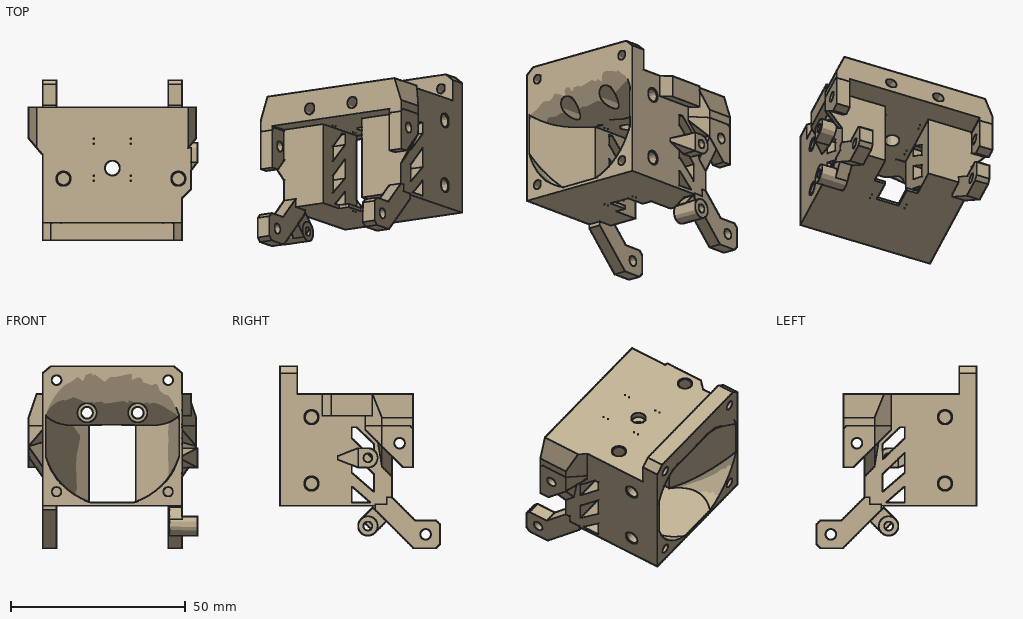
import cadquery as cq
import math

plate_half = 20.0
plate_depth = 5.0
plate_corner_x = 2.4
plate_corner_z = 2.0
body_depth = 32.1
body_height = 32.0
rear_face = 38.15
wall = 1.0
fan_hole_offset = 16.0
fan_hole_diameter = 2.7
roof_hole_diameter = 4.2
roof_hole_y = 20.7
roof_pocket_diameter = 10.45
roof_pocket_top = 30.25
roof_pocket_bottom = 28.25

channel_half = 6.65
channel_top = 23.2
duct_end = 14.5
duct_rim = 0.9
duct_half = plate_half - duct_rim
roof_run = 10.45
roof_end_half = 3.7
side_bulge = 5.2
floor_bulge = 14.6
end_corner = 0.15
end_bow = 0.01
duct_steps = 8
floor_overcut = 0.1
low_corner_power = 1.6

floor_slot_half = 3.35
floor_slot_front = 17.4
floor_notch_front = 23.75

louvre_front = 20.65
louvre_rear = 26.9
louvre_top = 22.45
upper_slot_corner_y = 21.95
upper_slot_front_low = 19.3
upper_slot_rear = (13.3, 17.7)
middle_slot_front = (9.45, 15.15)
middle_slot_rear = (4.0, 9.05)
lower_slot_front_high = 5.5
lower_slot_rear_y = 25.8

screw_diameter = 3.3
screw_head_diameter = 5.5
screw_x = 7.25
screw_z = 26.65
insert_diameter = 3.7
insert_mouth_diameter = 4.2
insert_depth = 5.0
side_insert_y = 9.05
side_insert_heights = (6.35, 25.4)
roof_insert_y = 17.65
roof_insert_places = (-14.0, 18.9)
pinhole_size = 0.1
pinhole_square = 10.6
pinhole_pair = 1.45
pinhole_centre_y = 23.1

hinge_width = 4.0
hinge_hole_diameter = 3.0
ear_outer = plate_half + hinge_width
bevel_front = 24.5
bevel_rear = 29.2
ear_slope_x = 21.7
ear_slope_z = 25.3
lug_top = 22.85
lug_bottom = 10.95
lug_chamfer = 0.9
lug_front_z = 21.7
lug_hole = (34.25, 17.9)
web_drop = 5.8
web_tip_y = 28.05

arm_hole = (41.7, -8.2)
arm_tip = 45.85
arm_chamfer = 1.15
arm_bottom = -12.2
arm_top = -4.2
arm_step_z = 0.35
arm_step_y = 30.65
arm_hook_z = 2.4
arm_front = 27.25
arm_underside_sum = 26.1

bump_width = 2.55
bump_bottom = 25.8
bump_front = 14.6
bump_rear = 26.5

tube_diameter = 5.6
tube_radius = tube_diameter / 2
tube_bore = 2.5
tube_y = 25.15
tube_inner_end = 16.35
tube_outer_end = 24.4
lower_tube_z = -5.8
upper_tube_z = 13.75
fairing_tip_y = 16.6
fairing_tip_height = 1.05

SIDES = (-1, 1)


def box(x0, x1, y0, y1, z0, z1):
    return cq.Workplane("XY").box(x1 - x0, y1 - y0, z1 - z0, centered=False).translate((x0, y0, z0))


def side_prism(outline, x0, x1):
    """Extrude a (Y, Z) outline between two X positions."""
    return cq.Workplane("YZ", origin=(x0, 0, 0)).polyline(outline).close().extrude(x1 - x0)


def plan_prism(outline, z0, z1):
    """Extrude an (X, Y) outline between two heights."""
    return cq.Workplane("XY", origin=(0, 0, z0)).polyline(outline).close().extrude(z1 - z0)


def front_prism(outline, y0, y1):
    """Extrude an (X, Z) outline between two depths."""
    return cq.Workplane("XZ", origin=(0, y0, 0)).polyline(outline).close().extrude(y0 - y1)


def x_cylinder(diameter, y, z, x0, x1):
    return cq.Workplane("YZ", origin=(x0, y, z)).circle(diameter / 2).extrude(x1 - x0)


def y_cylinder(diameter, x, z, y0, y1):
    return cq.Workplane("XZ", origin=(x, y0, z)).circle(diameter / 2).extrude(y0 - y1)


def z_cylinder(diameter, x, y, z0, z1):
    return cq.Workplane("XY", origin=(x, y, z0)).circle(diameter / 2).extrude(z1 - z0)


def on_side(shape, side):
    """Shapes are modelled on the +X side; side -1 gives the mirror image."""
    return shape if side > 0 else shape.mirror("YZ")


def polyhedron(faces):
    """Solid bounded by flat faces, each given by its corner points."""
    sheets = []
    for corners in faces:
        outline = cq.Wire.makePolygon([cq.Vector(*corner) for corner in corners], close=True)
        sheets.append(cq.Face.makeFromWires(outline))
    return cq.Workplane(obj=cq.Solid.makeSolid(cq.Shell.makeShell(sheets)))


def bowed_corner(start, end, depth, bow):
    """Arc from start to end, bowed to the right of the direction of travel."""
    chord_x = end[0] - start[0]
    chord_z = end[1] - start[1]
    chord = math.hypot(chord_x, chord_z)
    bow = min(bow, chord / 4)
    middle_x = (start[0] + end[0]) / 2 + bow * chord_z / chord
    middle_z = (start[1] + end[1]) / 2 - bow * chord_x / chord
    return cq.Edge.makeThreePointArc(
        cq.Vector(start[0], depth, start[1]),
        cq.Vector(middle_x, depth, middle_z),
        cq.Vector(end[0], depth, end[1]),
    )


def duct_section(depth):
    """Outline of the duct at one depth: four flats joined by four bowed corners.

    The mouth is a circle clipped by a square; the narrow end is the channel's rectangle.
    """
    t = depth / duct_end
    swell = t * (1 - t)
    roof_left = max(0, 1 - depth / roof_run)
    flat_half = math.sqrt(plate_half ** 2 - duct_half ** 2)

    side_x = duct_half + (channel_half - duct_half) * t + side_bulge * swell
    floor_x = flat_half + (channel_half - end_corner - flat_half) * t + floor_bulge * swell

    roof_rise = plate_half + duct_half - channel_top
    roof_fraction = 1 - math.sqrt(1 - roof_left ** 2)
    roof_z = channel_top + roof_rise * roof_fraction
    roof_x = roof_end_half + (flat_half - roof_end_half) * roof_fraction

    floor_z = wall - floor_overcut
    low_end = wall + end_corner
    high_end = channel_top - end_corner
    low_z = low_end + (plate_half - flat_half - low_end) * (1 - t) ** low_corner_power
    high_z = high_end + (plate_half + flat_half - high_end) * roof_left ** 2

    half_chord = (duct_half - flat_half) / math.sqrt(2)
    mouth_bow = plate_half - math.sqrt(plate_half ** 2 - half_chord ** 2)
    bow = mouth_bow * (1 - t) ** 2 + end_bow * t

    corners = [
        (-floor_x, floor_z), (floor_x, floor_z),
        (side_x, low_z), (side_x, high_z),
        (roof_x, roof_z), (-roof_x, roof_z),
        (-side_x, high_z), (-side_x, low_z),
    ]
    edges = []
    for i, start in enumerate(corners):
        end = corners[(i + 1) % len(corners)]
        if i % 2 == 0:
            line_start = cq.Vector(start[0], depth, start[1])
            line_end = cq.Vector(end[0], depth, end[1])
            edges.append(cq.Edge.makeLine(line_start, line_end))
        else:
            edges.append(bowed_corner(start, end, depth, bow))
    return cq.Wire.assembleEdges(edges)


def fan_duct():
    sections = [duct_section(duct_end * step / duct_steps) for step in range(duct_steps + 1)]
    return cq.Workplane(obj=cq.Solid.makeLoft(sections, False))


def level_floor_duct():
    """Duct with its bottom trimmed to the level floor."""
    return fan_duct().intersect(box(-plate_half, plate_half, 0, duct_end, wall, 2 * plate_half))


def fan_plate():
    top = 2 * plate_half
    cut_x = plate_half - plate_corner_x
    cut_z = top - plate_corner_z
    outline = [
        (-plate_half, 0), (plate_half, 0), (plate_half, cut_z),
        (cut_x, top), (-cut_x, top), (-plate_half, cut_z),
    ]
    return front_prism(outline, 0, plate_depth)


def ear_envelope(z0, z1):
    """Bevelled block on the +X side that shapes the ear and the lug below it."""
    outline = [
        (plate_half, bevel_front), (ear_outer, bevel_rear),
        (ear_outer, rear_face), (plate_half, rear_face),
    ]
    return plan_prism(outline, z0, z1)


def ear():
    bottom = lug_top - lug_chamfer
    slope_outline = [
        (plate_half, bottom), (ear_outer, bottom), (ear_outer, ear_slope_z),
        (ear_slope_x, body_height), (plate_half, body_height),
    ]
    sloped = front_prism(slope_outline, bevel_front, rear_face)
    return ear_envelope(bottom, body_height).intersect(sloped)


def lug_underside(y):
    """Height of the lug's 45 degree underside."""
    return lug_front_z + bevel_front - y


def lug_web():
    """Sloping web that carries the lug from the side wall, on the +X side."""
    rear_z = lug_underside(body_depth)
    front_z = lug_underside(bevel_rear)
    outer_rear = (ear_outer, body_depth, rear_z)
    inner_rear = (plate_half, body_depth, rear_z)
    foot_rear = (plate_half, body_depth, rear_z - web_drop)
    outer_front = (ear_outer, bevel_rear, front_z)
    foot_front = (plate_half, bevel_rear, front_z - web_drop)
    tip = (plate_half, web_tip_y, lug_underside(web_tip_y))
    return polyhedron([
        (outer_rear, outer_front, tip, inner_rear),
        (inner_rear, tip, foot_front, foot_rear),
        (outer_rear, foot_rear, foot_front, outer_front),
        (outer_front, foot_front, tip),
        (outer_rear, inner_rear, foot_rear),
    ])


def insert_bump():
    """Bump on the +X wall that makes room for the roof insert near that side."""
    outer = plate_half + bump_width
    outline = [
        (plate_half, bump_front - bump_width), (outer, bump_front),
        (outer, bump_rear), (plate_half, bump_rear),
    ]
    return plan_prism(outline, bump_bottom, body_height)


def louvre_slots():
    """Three slanted slots that run across the housing from side to side."""
    upper = [
        (louvre_rear, upper_slot_rear[1]), (upper_slot_corner_y, louvre_top),
        (louvre_front, louvre_top), (louvre_front, upper_slot_front_low),
        (louvre_rear, upper_slot_rear[0]),
    ]
    middle = [
        (louvre_rear, middle_slot_rear[1]), (louvre_front, middle_slot_front[1]),
        (louvre_front, middle_slot_front[0]), (louvre_rear, middle_slot_rear[0]),
    ]
    lower = [(lower_slot_rear_y, wall), (louvre_front, lower_slot_front_high), (louvre_front, wall)]
    slots = cq.Workplane("XY")
    for outline in (upper, middle, lower):
        slots = slots.add(side_prism(outline, -plate_half, plate_half))
    return slots.combine()


def insert_hole():
    """Blind hole along -Z from the origin with a chamfered mouth."""
    mouth = (insert_mouth_diameter - insert_diameter) / 2
    radius = insert_diameter / 2
    profile = [
        (0, 0), (radius + mouth, 0), (radius, -mouth),
        (radius, -insert_depth), (0, -insert_depth),
    ]
    return cq.Workplane("XZ").polyline(profile).close().revolve(360, (0, 0, 0), (0, 1, 0))


def pinholes():
    """Pairs of tiny vertical holes on the corners of a square."""
    half = pinhole_square / 2
    places = []
    for x in (-half, half):
        for y in (-half, half):
            for shift in (-pinhole_pair / 2, pinhole_pair / 2):
                places.append((x, pinhole_centre_y + y + shift))
    return cq.Workplane("XY").pushPoints(places).rect(pinhole_size, pinhole_size).extrude(body_height)


def housing_blank():
    """Solid outside shape of the housing."""
    body = box(-plate_half, plate_half, 0, body_depth, 0, body_height).union(fan_plate())
    body = body.union(box(-plate_half, plate_half, body_depth, rear_face, channel_top, body_height))
    for side in SIDES:
        body = body.union(on_side(ear(), side)).union(on_side(lug_web(), side))
    return body.union(insert_bump())


def cut_air_path(body):
    body = body.cut(level_floor_duct())
    body = body.cut(box(-channel_half, channel_half, duct_end, body_depth, wall, channel_top))
    body = body.cut(box(-floor_slot_half, floor_slot_half, floor_slot_front, body_depth, 0, wall))
    body = body.cut(box(-channel_half, channel_half, floor_notch_front, body_depth, 0, wall))
    return body.cut(louvre_slots())


def cut_front_holes(body):
    """Four fan holes and two counterbored screw holes, all along Y."""
    for side in SIDES:
        fan_x = side * fan_hole_offset
        for rise in SIDES:
            fan_z = plate_half + rise * fan_hole_offset
            body = body.cut(y_cylinder(fan_hole_diameter, fan_x, fan_z, 0, plate_depth))
        x = side * screw_x
        body = body.cut(y_cylinder(screw_head_diameter, x, screw_z, 0, duct_end))
        body = body.cut(y_cylinder(screw_diameter, x, screw_z, duct_end, rear_face))
    return body


def cut_insert_holes(body):
    sideways = insert_hole().rotate((0, 0, 0), (0, 1, 0), 90)
    for side in SIDES:
        for z in side_insert_heights:
            body = body.cut(on_side(sideways.translate((plate_half, side_insert_y, z)), side))
    for x in roof_insert_places:
        body = body.cut(insert_hole().translate((x, roof_insert_y, body_height)))
    return body


def cut_roof_hole(body):
    hole = z_cylinder(roof_hole_diameter, 0, roof_hole_y, channel_top, body_height)
    pocket = z_cylinder(roof_pocket_diameter, 0, roof_hole_y, roof_pocket_bottom, roof_pocket_top)
    return body.cut(hole).cut(pocket)


def make_housing(neighbours):
    """Housing with recesses where the neighbouring bodies fit."""
    body = cut_air_path(housing_blank())
    body = cut_front_holes(body)
    body = cut_insert_holes(body)
    body = cut_roof_hole(body)
    body = body.cut(pinholes())
    for neighbour in neighbours:
        body = body.cut(neighbour)
    return body


def make_lug(side):
    outline = [
        (rear_face, lug_bottom), (rear_face, lug_top - lug_chamfer), (rear_face - lug_chamfer, lug_top),
        (bevel_front, lug_top), (bevel_front, lug_front_z),
        (bevel_front + lug_front_z - lug_bottom, lug_bottom),
    ]
    lug = side_prism(outline, plate_half, ear_outer).intersect(ear_envelope(lug_bottom, lug_top))
    lug = lug.cut(x_cylinder(hinge_hole_diameter, *lug_hole, plate_half, ear_outer))
    return on_side(lug, side)


def make_arm(side):
    outline = [
        (arm_tip, arm_bottom + arm_chamfer), (arm_tip, arm_top - arm_chamfer),
        (arm_tip - arm_chamfer, arm_top), (body_depth + arm_hook_z - arm_top, arm_top),
        (body_depth, arm_hook_z), (arm_step_y, arm_hook_z),
        (arm_step_y, arm_step_z), (arm_front, arm_step_z),
        (arm_front, arm_underside_sum - arm_front), (arm_underside_sum - arm_bottom, arm_bottom),
        (arm_tip - arm_chamfer, arm_bottom),
    ]
    inner = plate_half - hinge_width
    arm = side_prism(outline, inner, plate_half)
    arm = arm.cut(x_cylinder(hinge_hole_diameter, *arm_hole, inner, plate_half))
    return on_side(arm, side)


def make_lower_tube():
    outside = x_cylinder(tube_diameter, tube_y, lower_tube_z, tube_inner_end, tube_outer_end)
    return outside.cut(x_cylinder(tube_bore, tube_y, lower_tube_z, tube_inner_end, tube_outer_end))


def block_envelope():
    """Square bar from the sloping underside of the arm to the centre line of the tube."""
    length = (arm_underside_sum - tube_y - lower_tube_z) / math.sqrt(2)
    bar = box(tube_inner_end, plate_half, -tube_radius, tube_radius, 0, length)
    bar = bar.rotate((0, 0, 0), (1, 0, 0), -45)
    return bar.translate((0, tube_y, lower_tube_z))


def make_tube_block():
    """Block that joins the +X arm to the tube, hollowed to fit the tube."""
    return block_envelope().cut(x_cylinder(tube_diameter, tube_y, lower_tube_z, tube_inner_end, plate_half))


def make_bore_plug():
    """Half-round plug that closes the arm side of the bore next to the block."""
    return block_envelope().intersect(x_cylinder(tube_bore, tube_y, lower_tube_z, tube_inner_end, plate_half))


def make_upper_tube():
    """Tube on the +X wall, squared off on its front half."""
    low = upper_tube_z - tube_radius
    high = upper_tube_z + tube_radius
    tube = x_cylinder(tube_diameter, tube_y, upper_tube_z, plate_half, tube_outer_end)
    tube = tube.union(box(plate_half, tube_outer_end, tube_y - tube_radius, tube_y, low, high))
    return tube.cut(x_cylinder(tube_bore, tube_y, upper_tube_z, plate_half, tube_outer_end))


def make_fairing():
    """Wedge that tapers from the squared front of the upper tube to the side wall."""
    low = upper_tube_z - tube_radius
    high = upper_tube_z + tube_radius
    rear = tube_y - tube_radius
    inner_low = (plate_half, rear, low)
    inner_high = (plate_half, rear, high)
    outer_low = (tube_outer_end, rear, low)
    outer_high = (tube_outer_end, rear, high)
    tip_low = (plate_half, fairing_tip_y, upper_tube_z - fairing_tip_height / 2)
    tip_high = (plate_half, fairing_tip_y, upper_tube_z + fairing_tip_height / 2)
    return polyhedron([
        (inner_low, outer_low, outer_high, inner_high),
        (inner_low, inner_high, tip_high, tip_low),
        (outer_low, tip_low, tip_high, outer_high),
        (inner_high, outer_high, tip_high),
        (inner_low, tip_low, outer_low),
    ])


lugs = [make_lug(side) for side in SIDES]
arms = [make_arm(side) for side in SIDES]
housing = make_housing(lugs + arms)
lower_tube = make_lower_tube()
tube_block = make_tube_block()
bore_plug = make_bore_plug()
upper_tube = make_upper_tube()
fairing = make_fairing()

result = cq.Compound.makeCompound([
    housing.val(),
    *[lug.val() for lug in lugs],
    *[arm.val() for arm in arms],
    lower_tube.val(),
    tube_block.val(),
    bore_plug.val(),
    upper_tube.val(),
    fairing.val(),
])